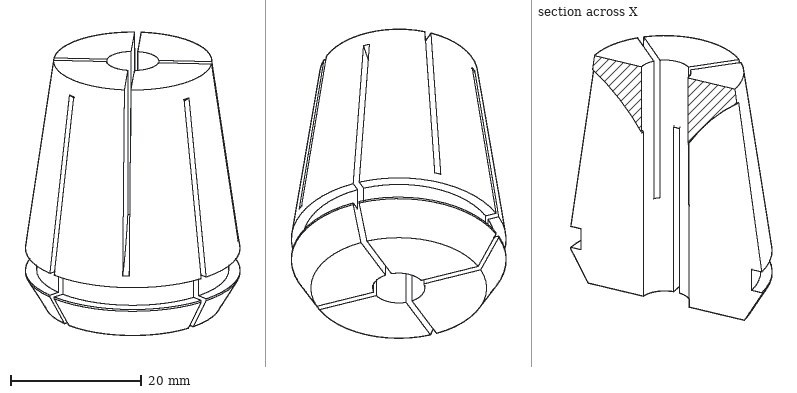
import cadquery as cq
import math

total_height = 40.0
max_radius = 16.5
bore_radius = 4.0

taper_half_angle = 8.0
taper_base_z = 9.1
taper_top_radius = max_radius - (total_height - taper_base_z) * math.tan(math.radians(taper_half_angle))

groove_radius = 14.75
flange_top_z = 5.5
rim_height = 0.3
nose_half_angle = 30.0
rim_base_z = flange_top_z - rim_height
nose_radius = max_radius - rim_base_z * math.tan(math.radians(nose_half_angle))

slot_width = 1.0
lower_saw_radius = 32.0
upper_saw_radius = 25.0
lower_slot_bore_z = 28.5
lower_slot_outer_z = 37.5
upper_slot_bore_z = 16.2
upper_slot_outer_z = 10.9
cut_margin = 2.0


def taper_radius(z):
    """Radius of the long taper at height z."""
    return max_radius - (z - taper_base_z) * math.tan(math.radians(taper_half_angle))


def make_body():
    """Revolve the collet section, bore included."""
    section = (
        cq.Workplane("XZ")
        .moveTo(bore_radius, 0)
        .lineTo(nose_radius, 0)
        .lineTo(max_radius, rim_base_z)
        .lineTo(max_radius, flange_top_z)
        .lineTo(groove_radius, flange_top_z)
        .lineTo(groove_radius, taper_base_z)
        .lineTo(max_radius, taper_base_z)
        .lineTo(taper_top_radius, total_height)
        .lineTo(bore_radius, total_height)
        .close()
    )
    return section.revolve(360, (0, 0, 0), (0, 1, 0))


def saw_centre(bore_z, outer_z, saw_radius, side):
    """Centre (r, z) of the saw circle through both slot ends; side is +1 above them, -1 below."""
    outer_radius = taper_radius(outer_z)
    run = outer_radius - bore_radius
    rise = outer_z - bore_z
    chord = math.hypot(run, rise)
    offset = side * math.sqrt(saw_radius**2 - (chord / 2) ** 2)
    centre_r = (bore_radius + outer_radius) / 2 - offset * rise / chord
    centre_z = (bore_z + outer_z) / 2 + offset * run / chord
    return centre_r, centre_z


def make_slot(bore_z, outer_z, saw_radius, side, angle):
    """Radial slot at the given angle, open at the top (side +1) or the bottom (side -1)."""
    centre_r, centre_z = saw_centre(bore_z, outer_z, saw_radius, side)
    inner_r = bore_radius / 2
    outer_r = max_radius + cut_margin
    open_z = total_height + cut_margin if side > 0 else -cut_margin

    def arc_point(r):
        return r, centre_z - side * math.sqrt(saw_radius**2 - (r - centre_r) ** 2)

    profile = (
        cq.Workplane("XZ")
        .moveTo(inner_r, open_z)
        .lineTo(*arc_point(inner_r))
        .threePointArc(arc_point((inner_r + outer_r) / 2), arc_point(outer_r))
        .lineTo(outer_r, open_z)
        .close()
    )
    blade = profile.extrude(slot_width / 2, both=True)
    return blade.rotate((0, 0, 0), (0, 0, 1), angle)


result = make_body()
for quarter in range(4):
    lower_angle = 90 * quarter
    upper_angle = lower_angle + 45
    result = result.cut(make_slot(lower_slot_bore_z, lower_slot_outer_z, lower_saw_radius, -1, lower_angle))
    result = result.cut(make_slot(upper_slot_bore_z, upper_slot_outer_z, upper_saw_radius, 1, upper_angle))